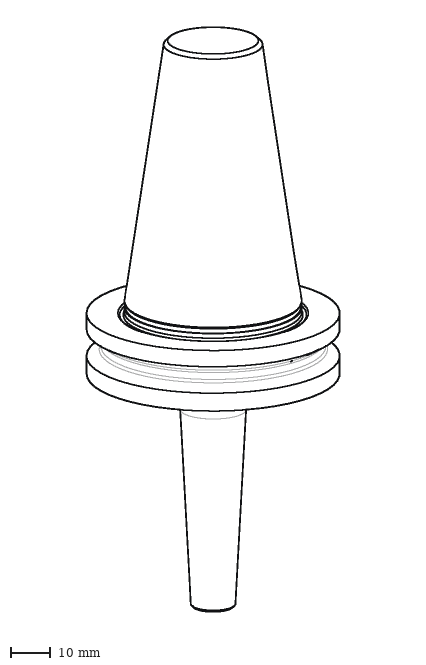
import cadquery as cq
import math

total_height = 148.4
flange_bottom = 61.0
flange_top = 76.9
gauge_height = 80.0

gauge_radius = 22.3
taper_slope = 7 / 48
top_chamfer = 1.0

relief_radius = 22.0
relief_top = 79.5
relief_bottom = 78.4

foot_radius = 22.5
foot_top = 77.2

flange_radius = 31.8
groove_floor_radius = 28.2
groove_middle = 69.2
groove_floor_width = 2.8
groove_half_angle = math.radians(30)
groove_fillet = 0.9

ring_outer_radius = 23.9
ring_floor_radius = 23.5
ring_depth = 0.5

tip_radius = 5.6
tip_chamfer = 0.6
nose_half_angle = math.radians(3)
blend_radius = 9.8

chamfer_height = total_height - top_chamfer
chamfer_radius = gauge_radius - (chamfer_height - gauge_height) * taper_slope
half_floor = groove_floor_width / 2
half_mouth = half_floor + (flange_radius - groove_floor_radius) * math.tan(groove_half_angle)
ring_floor = flange_top - ring_depth

blend_center_z = flange_bottom - blend_radius
blend_start_z = blend_center_z + blend_radius * math.sin(nose_half_angle)
blend_start_radius = tip_radius + (blend_start_z - tip_chamfer) * math.tan(nose_half_angle)
blend_center_radius = blend_start_radius + blend_radius * math.cos(nose_half_angle)
blend_middle_angle = (math.pi / 2 + math.pi - nose_half_angle) / 2
blend_middle = (
    blend_center_radius + blend_radius * math.cos(blend_middle_angle),
    blend_center_z + blend_radius * math.sin(blend_middle_angle),
)

profile = (
    cq.Workplane("XZ")
    .lineTo(tip_radius - tip_chamfer, 0)
    .lineTo(tip_radius, tip_chamfer)
    .lineTo(blend_start_radius, blend_start_z)
    .threePointArc(blend_middle, (blend_center_radius, flange_bottom))
    .lineTo(flange_radius, flange_bottom)
    .lineTo(flange_radius, groove_middle - half_mouth)
    .lineTo(groove_floor_radius, groove_middle - half_floor)
    .lineTo(groove_floor_radius, groove_middle + half_floor)
    .lineTo(flange_radius, groove_middle + half_mouth)
    .lineTo(flange_radius, flange_top)
    .lineTo(ring_outer_radius, flange_top)
    .lineTo(ring_floor_radius, ring_floor)
    .lineTo(foot_radius, ring_floor)
    .lineTo(gauge_radius, foot_top)
    .lineTo(gauge_radius, relief_bottom)
    .lineTo(relief_radius, relief_bottom)
    .lineTo(relief_radius, relief_top)
    .lineTo(gauge_radius, gauge_height)
    .lineTo(chamfer_radius, chamfer_height)
    .lineTo(chamfer_radius - top_chamfer, total_height)
    .lineTo(0, total_height)
    .close()
)

body = profile.revolve(360, (0, 0, 0), (0, 1, 0))

groove_box = cq.selectors.BoxSelector(
    (-flange_radius, -flange_radius, groove_middle - groove_floor_width),
    (flange_radius, flange_radius, groove_middle + groove_floor_width),
)
result = body.edges("%CIRCLE").edges(groove_box).fillet(groove_fillet)